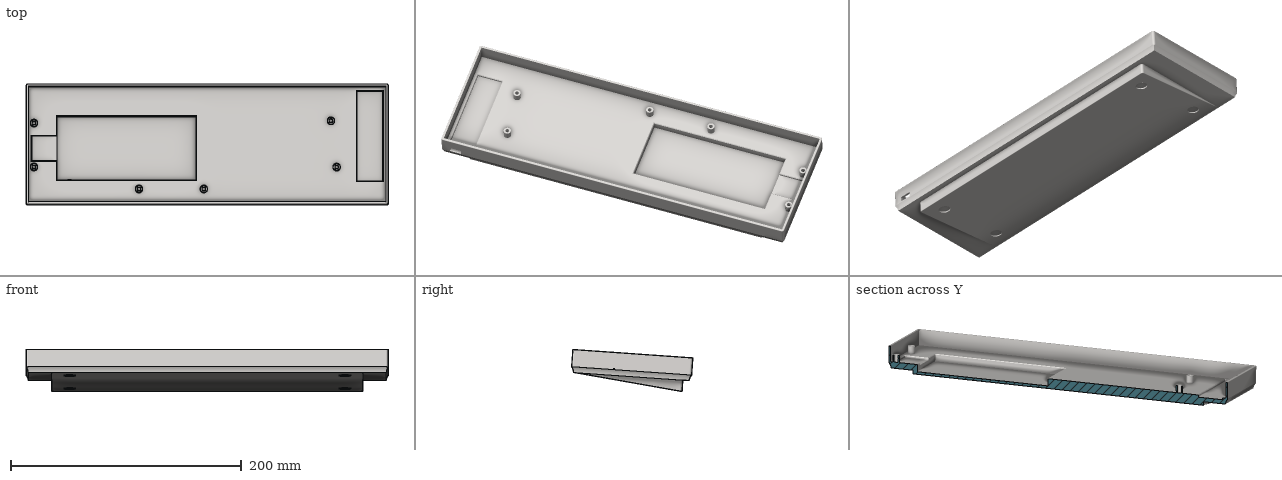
import cadquery as cq
import math

tray_length = 313.96
tray_depth = 104.4
tray_height = 20.0
tilt_angle = 4.0
wall = 2.0
floor_top = 6.0
corner_radius = 2.0
edge_rounding = 0.5

cove_inset = 2.0
cove_height = 5.0
cove_radius = 10.5

foot_length = 269.6
foot_angle = 6.0
foot_overlap = 2.0
foot_rear_gap = 7.3
foot_rear_drop = 9.88

pad_diameter = 10.2
pad_recess_depth = 1.0
pad_edge_margin = 15.6
pad_rear_margin = 15.0
pad_spacing = 65.0

post_diameter = 6.3
post_hole_diameter = 3.3
post_height = 6.4
post_places = [
    (-150.1, 18.8),
    (-150.1, -19.3),
    (-59.1, -38.4),
    (-3.0, -38.4),
    (107.1, 20.8),
    (112.1, -19.4),
]

battery_pocket = (-130.1, -9.8, -30.4, 24.8, 6.5)
channel_pocket = (-152.0, -130.1, -13.6, 7.8, 2.0)
side_pocket = (129.9, 152.0, -31.3, 46.7, 1.9)
pocket_chamfer = 0.6

opening_width = 10.0
opening_height = 4.3
opening_wall_gap = 6.0

half_length = tray_length / 2
half_depth = tray_depth / 2
foot_rear_y = half_depth - foot_rear_gap


def cove_profile(plane, half_width):
    """Cross-section of the tray block: upright sides above two concave coves."""
    chord = math.hypot(cove_inset, cove_height)
    sag = cove_radius - math.sqrt(cove_radius**2 - (chord / 2) ** 2)
    mid_x = half_width - cove_inset / 2 - sag * cove_height / chord
    mid_z = cove_height / 2 + sag * cove_inset / chord
    bottom_x = half_width - cove_inset
    return (
        cq.Workplane(plane)
        .moveTo(-bottom_x, 0)
        .lineTo(bottom_x, 0)
        .threePointArc((mid_x, mid_z), (half_width, cove_height))
        .lineTo(half_width, tray_height)
        .lineTo(-half_width, tray_height)
        .lineTo(-half_width, cove_height)
        .threePointArc((-mid_x, mid_z), (-bottom_x, 0))
        .close()
    )


def make_tray():
    """Open tray with coved lower edges, rounded corners and a rounded outer rim."""
    across = cove_profile("XZ", half_length).extrude(half_depth, both=True)
    along = cove_profile("YZ", half_depth).extrude(half_length, both=True)
    rounded = (
        cq.Workplane("XY")
        .rect(tray_length, tray_depth)
        .extrude(tray_height)
        .edges("|Z")
        .fillet(corner_radius)
    )
    cavity = (
        cq.Workplane("XY", origin=(0, 0, floor_top))
        .rect(tray_length - 2 * wall, tray_depth - 2 * wall)
        .extrude(tray_height)
    )
    block = across.intersect(along).intersect(rounded)
    return block.faces(">Z").edges().fillet(edge_rounding).cut(cavity)


def make_foot():
    """Wedge that grows deeper towards the rear, with rounded rear corners and lower edges."""
    front_y = foot_rear_y - foot_rear_drop / math.tan(math.radians(foot_angle))
    return (
        cq.Workplane("YZ")
        .moveTo(front_y, 0)
        .lineTo(foot_rear_y, -foot_rear_drop)
        .lineTo(foot_rear_y, foot_overlap)
        .lineTo(front_y, foot_overlap)
        .close()
        .extrude(foot_length / 2, both=True)
        .edges("|Z and >Y")
        .fillet(corner_radius)
        .faces("<Z")
        .edges()
        .edges("not <Y")
        .fillet(edge_rounding)
    )


def pad_recesses():
    """Four round recesses square to the sloping underside of the foot."""
    underside = cq.Workplane("XY").transformed(
        offset=(0, foot_rear_y, -foot_rear_drop), rotate=(-foot_angle, 0, 0)
    )
    pad_x = foot_length / 2 - pad_edge_margin
    rear_row = -pad_rear_margin
    front_row = rear_row - pad_spacing
    places = [(x, y) for x in (-pad_x, pad_x) for y in (rear_row, front_row)]
    return underside.pushPoints(places).circle(pad_diameter / 2).extrude(pad_recess_depth)


def pocket(west, east, south, north, depth):
    """Rectangular pocket below the floor surface with a chamfered mouth."""
    length = east - west
    width = north - south
    center_x = (west + east) / 2
    center_y = (south + north) / 2
    hole = (
        cq.Workplane("XY", origin=(center_x, center_y, floor_top - depth))
        .rect(length, width)
        .extrude(depth)
    )
    mouth = (
        cq.Workplane("XY", origin=(center_x, center_y, floor_top - pocket_chamfer))
        .rect(length, width)
        .workplane(offset=pocket_chamfer)
        .rect(length + 2 * pocket_chamfer, width + 2 * pocket_chamfer)
        .loft()
    )
    return hole.union(mouth)


def posts():
    """Hollow screw posts standing on the floor."""
    return (
        cq.Workplane("XY", origin=(0, 0, floor_top))
        .pushPoints(post_places)
        .circle(post_diameter / 2)
        .circle(post_hole_diameter / 2)
        .extrude(post_height)
    )


def cable_opening():
    """Rectangular cutter through the rear wall, level with the floor."""
    center_x = half_length - wall - opening_wall_gap - opening_width / 2
    return (
        cq.Workplane("XY", origin=(center_x, half_depth - wall / 2, floor_top))
        .rect(opening_width, 2 * wall)
        .extrude(opening_height)
    )


body = make_tray().union(make_foot()).cut(pad_recesses())
for outline in (battery_pocket, channel_pocket, side_pocket):
    body = body.cut(pocket(*outline))
body = body.cut(cable_opening()).union(posts())
result = body.rotate((0, 0, 0), (1, 0, 0), -tilt_angle)